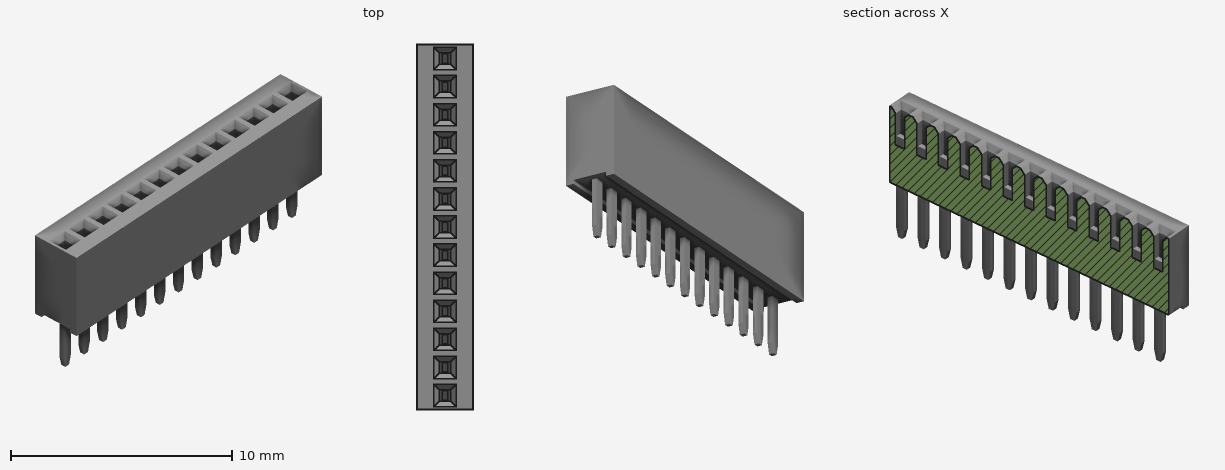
import cadquery as cq

length = 16.51
width = 2.55
height = 7.0

contact_count = 13
pitch = length / contact_count

housing_height = 4.4
channel_width = 1.73
channel_depth = 0.2

mouth_side = 1.0
well_side = 0.51
funnel_depth = 0.26
well_depth = 1.98

pin_thickness = 0.25
pin_width = 0.5
pin_tip_width = 0.25
pin_taper_length = 0.51

contact_width = 0.41
contact_height = 0.5

housing_bottom = height - housing_height
well_floor = height - well_depth

contact_places = [
    (0, (index - (contact_count - 1) / 2) * pitch) for index in range(contact_count)
]


def at_contacts(shape):
    """Copies of one shape at every contact place along the row."""
    return cq.Workplane("XY").pushPoints(contact_places).eachpoint(
        lambda place: shape.val().moved(place)
    )


def make_housing():
    block = cq.Workplane("XY", origin=(0, 0, housing_bottom)).box(
        width, length, housing_height, centered=(True, True, False)
    )
    channel = cq.Workplane("XY", origin=(0, 0, housing_bottom)).box(
        channel_width, length, channel_depth, centered=(True, True, False)
    )
    return block.cut(channel)


def make_socket():
    funnel = (
        cq.Workplane("XY", origin=(0, 0, height))
        .rect(mouth_side, mouth_side)
        .workplane(offset=-funnel_depth)
        .rect(well_side, well_side)
        .loft(ruled=True)
    )
    well = cq.Workplane("XY", origin=(0, 0, well_floor)).box(
        well_side, well_side, well_depth - funnel_depth, centered=(True, True, False)
    )
    return funnel.union(well)


def make_pin():
    half_width = pin_width / 2
    half_tip = pin_tip_width / 2
    blade = (
        cq.Workplane("YZ")
        .polyline([
            (-half_tip, 0),
            (half_tip, 0),
            (half_width, pin_taper_length),
            (half_width, well_floor),
            (-half_width, well_floor),
            (-half_width, pin_taper_length),
        ])
        .close()
        .extrude(pin_thickness / 2, both=True)
    )
    contact = cq.Workplane("XY", origin=(0, 0, well_floor)).box(
        pin_thickness, contact_width, contact_height, centered=(True, True, False)
    )
    return blade.union(contact)


result = make_housing().cut(at_contacts(make_socket())).union(at_contacts(make_pin()))